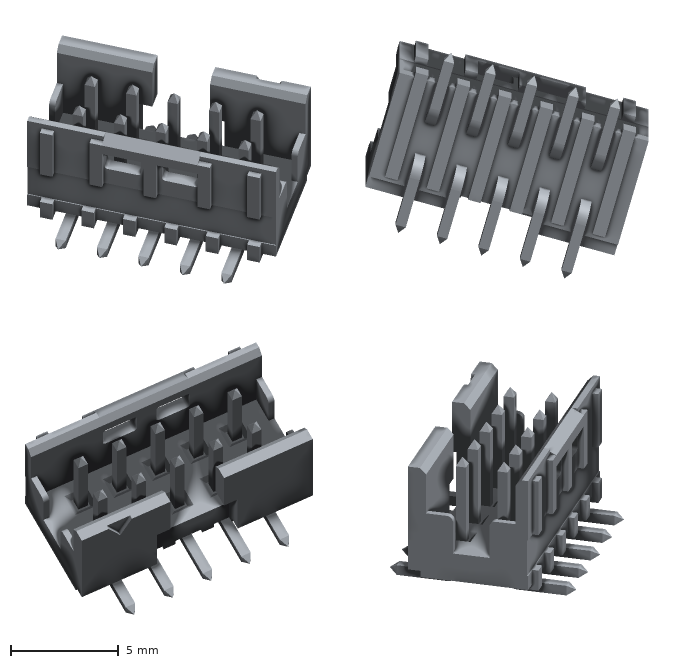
import cadquery as cq
import math


width = 12.0
columns = 5
pitch = width / (columns + 1)
row_y = pitch / 2
pin_columns = [(i - (columns - 1) / 2) * pitch for i in range(columns)]

housing_top = 6.45
rib_bottom = 0.59
base_bottom = 0.89
foot_top = 1.2
band_bottom = 1.61
floor_z = 2.29
band_top = 3.42
key_notch_top = 3.91
shoulder_z = 4.18
window_bottom = 4.38
window_top = 5.59

back_y = 3.05
back_inner_y = 2.17
foot_y = 2.44
front_y = -2.75
front_inner_y = -2.15

side_wall = 0.3
rim_chamfer = 0.3
side_slot_half = 0.88
side_slot_fillet = 0.3
band_depth = 0.05
key_slot_width = 2.78
key_notch_width = 4.2

rib_width = 0.6
rib_depth = 0.3
rib_face_y = front_y - rib_depth
rib_top = housing_top - rim_chamfer
frame_bar = 0.6
frame_width = 5.81
window_inner_x = 0.5
window_outer_x = 2.27
window_fillet = 0.17

pin_side = 0.49
pin_top = 6.32
pin_tip = 0.41
leg_end_y = 4.5
bend_inner = pin_side
bend_outer = bend_inner + pin_side

pocket_side = 1.13
pocket_floor_side = 0.67
pocket_depth = (pocket_side - pocket_floor_side) / 2

mark_width = 1.21
mark_depth = 0.19
mark_flank_angle = 60
mark_height = mark_width / 2 * math.tan(math.radians(mark_flank_angle))


def block(x0, x1, y0, y1, z0, z1):
    return cq.Workplane("XY").box(x1 - x0, y1 - y0, z1 - z0, centered=False).translate((x0, y0, z0))


def centered_block(x, size_x, y0, y1, z0, z1):
    return block(x - size_x / 2, x + size_x / 2, y0, y1, z0, z1)


def along_x(points, length):
    """Solid with the given (y, z) outline, centred on X = 0."""
    return cq.Workplane("YZ").polyline(points).close().extrude(length / 2, both=True)


def shroud():
    outline = [
        (front_y, base_bottom),
        (foot_y, base_bottom),
        (foot_y, foot_top),
        (back_y, foot_top),
        (back_y, housing_top),
        (back_inner_y + rim_chamfer, housing_top),
        (back_inner_y, housing_top - rim_chamfer),
        (back_inner_y, floor_z),
        (front_inner_y, floor_z),
        (front_inner_y, housing_top - rim_chamfer),
        (front_inner_y - rim_chamfer, housing_top),
        (front_y, housing_top),
        (front_y, band_top),
        (front_y + band_depth, band_top),
        (front_y + band_depth, band_bottom),
        (front_y, band_bottom),
    ]
    return along_x(outline, width)


def side_walls():
    walls = block(-width / 2, width / 2, front_inner_y, back_inner_y, floor_z, shoulder_z)
    slot = block(-width / 2, width / 2, -side_slot_half, side_slot_half, floor_z, shoulder_z)
    cavity_half = width / 2 - side_wall
    cavity = block(-cavity_half, cavity_half, front_inner_y, back_inner_y, floor_z, shoulder_z)
    slotted = walls.cut(slot)
    for y in (-side_slot_half, side_slot_half):
        rim = cq.selectors.NearestToPointSelector((0, y, shoulder_z))
        slotted = slotted.edges(rim).fillet(side_slot_fillet)
    return slotted.cut(cavity)


def key_opening():
    slot = centered_block(0, key_slot_width, back_inner_y, back_y, base_bottom, housing_top)
    notch = centered_block(0, key_notch_width, back_inner_y, back_y, base_bottom, key_notch_top)
    return slot.union(notch)


def first_pin_mark():
    half = mark_width / 2
    x = pin_columns[-1]
    return (
        cq.Workplane("XZ", origin=(x, back_y, 0))
        .polyline([(-half, housing_top), (half, housing_top), (0, housing_top - mark_height)])
        .close()
        .extrude(mark_depth)
    )


def front_windows():
    cutters = cq.Workplane("XY")
    for x in (-window_outer_x, window_inner_x):
        window_width = window_outer_x - window_inner_x
        cutter = block(x, x + window_width, front_y, front_inner_y, window_bottom, window_top)
        cutters = cutters.add(cutter.edges("|Y").fillet(window_fillet))
    return cutters.combine()


def front_ribs():
    ribs = centered_block(0, frame_bar, rib_face_y, front_y, band_top, rib_top)
    for side in (-1, 1):
        end_x = side * (width - pitch) / 2
        frame_x = side * (frame_width - frame_bar) / 2
        for x in (end_x, frame_x):
            ribs = ribs.union(centered_block(x, rib_width, rib_face_y, front_y, band_top, rib_top))
    bridge = centered_block(0, frame_width, rib_face_y, front_y, window_top, rib_top)
    return ribs.union(bridge)


def add_frame_ramp(body):
    """Slope the rim of the front wall down to the top edge of the latch frame."""
    rim_y = front_inner_y - rim_chamfer
    ramp_width = frame_width - 2 * frame_bar
    lip = centered_block(0, ramp_width, rib_face_y, front_y, rib_top, housing_top)
    above_ramp = along_x([(rim_y, housing_top), (rib_face_y, rib_top), (rib_face_y, housing_top)], ramp_width)
    return body.union(lip).cut(above_ramp)


def base_ribs():
    ribs = cq.Workplane("XY")
    for i in range(columns + 1):
        x = (i - columns / 2) * pitch
        underside = centered_block(x, rib_width, rib_face_y, back_inner_y, rib_bottom, base_bottom)
        upright = centered_block(x, rib_width, rib_face_y, front_y + band_depth, rib_bottom, band_bottom)
        ribs = ribs.add(underside.union(upright))
    return ribs.combine()


def lead_in_pocket(x, y):
    return (
        cq.Workplane("XY", origin=(x, y, floor_z))
        .rect(pocket_side, pocket_side)
        .workplane(offset=-pocket_depth)
        .rect(pocket_floor_side, pocket_floor_side)
        .loft()
    )


def pin_point(plane):
    """Pyramid on a square base that ends a pin."""
    base = cq.Workplane(plane).rect(pin_side, pin_side)
    half_angle = math.degrees(math.atan(pin_side / 2 / pin_tip))
    return base.extrude(pin_tip, taper=half_angle)


def pin():
    """Pin of the back row at X = 0, with its leg pointing to +Y."""
    inner_y = row_y - pin_side / 2
    outer_y = row_y + pin_side / 2
    bend_y = outer_y + bend_inner
    bend_z = bend_outer
    diagonal = math.sqrt(0.5)
    leg_base_y = leg_end_y - pin_tip
    post_top = pin_top - pin_tip
    body = (
        cq.Workplane("YZ")
        .moveTo(inner_y, post_top)
        .lineTo(inner_y, bend_z)
        .threePointArc((bend_y - bend_outer * diagonal, bend_z - bend_outer * diagonal), (bend_y, 0))
        .lineTo(leg_base_y, 0)
        .lineTo(leg_base_y, pin_side)
        .lineTo(bend_y, pin_side)
        .threePointArc((bend_y - bend_inner * diagonal, bend_z - bend_inner * diagonal), (outer_y, bend_z))
        .lineTo(outer_y, post_top)
        .close()
        .extrude(pin_side / 2, both=True)
    )
    post_plane = cq.Plane((0, row_y, post_top), (1, 0, 0), (0, 0, 1))
    leg_plane = cq.Plane((0, leg_base_y, pin_side / 2), (1, 0, 0), (0, 1, 0))
    return body.union(pin_point(post_plane)).union(pin_point(leg_plane))


housing = shroud().union(side_walls())
housing = housing.cut(key_opening()).cut(first_pin_mark()).cut(front_windows())
housing = housing.union(front_ribs()).union(base_ribs())
housing = add_frame_ramp(housing)

back_pin = pin()
front_pin = back_pin.rotate((0, 0, 0), (0, 0, 1), 180)

result = housing
for column_x in pin_columns:
    for row_side, row_pin in ((1, back_pin), (-1, front_pin)):
        result = result.cut(lead_in_pocket(column_x, row_side * row_y))
        result = result.union(row_pin.translate((column_x, 0, 0)))